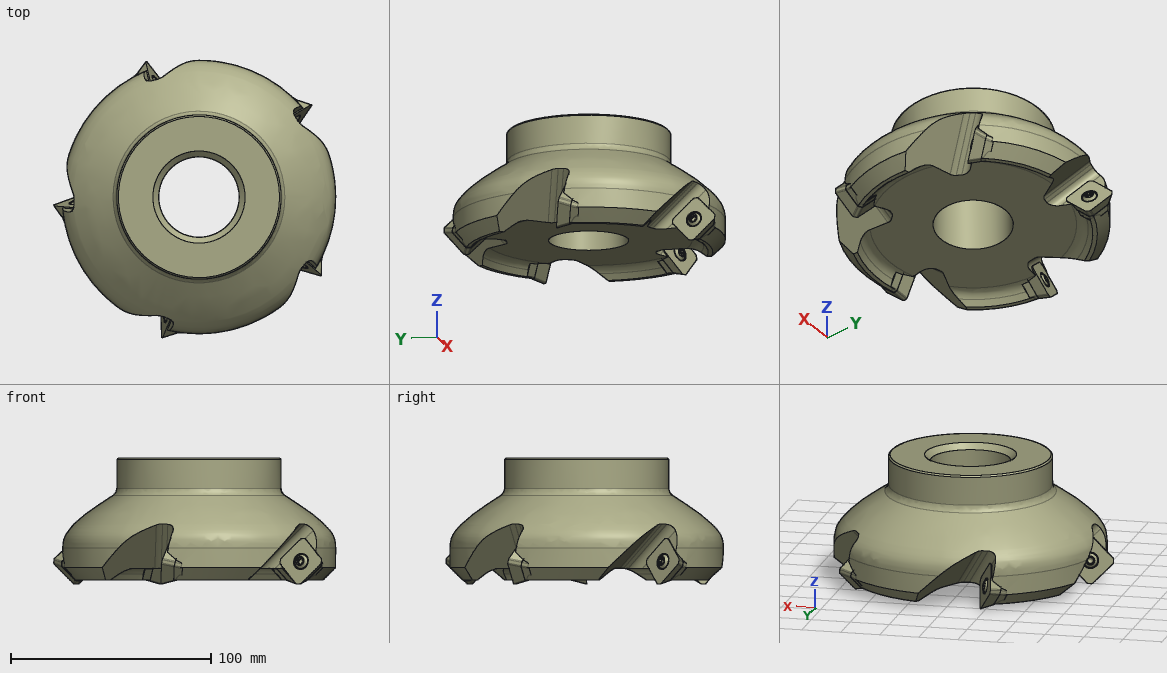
import cadquery as cq
import math

overall_height = 63.0
head_radius = 68.25
hub_radius = 82.0 / 2
hub_edge_chamfer = 0.8
hub_fillet = 4.2
hub_base_height = 45.6
slope_angle = math.radians(35)
shoulder_points = [(58.0, 33.9), (64.7, 27.6)]
shoulder_height = 18.1
rim_height = 8.3
underside_height = 2.0
bore_diameter = 40.01
bore_chamfer = 3.0

hollow_roof_height = 7.9
hollow_roof_radius = 51.6
hollow_blend_radius = 7.25
hollow_blend_angle = math.radians(53)

insert_count = 5
insert_side = 18.2
insert_thickness = 6.0
insert_corner = 1.7
insert_corner_blend = 0.9
insert_relief = 20.0
insert_x = -16.3
insert_y = -58.7
face_azimuth = math.radians(169.5)
face_elevation = math.radians(12.7)

pad_thickness = 4.0
pad_relief = 11.0
pad_inset = 0.15

screw_recess_diameter = 8.1
screw_recess_depth = 0.6
screw_head_diameter = 7.15
screw_top_diameter = 4.5
screw_rise = 0.8
socket_diameter = 4.0
socket_lobe_count = 6
socket_lobe_diameter = 1.0
socket_core_diameter = 3.0
socket_depth = 1.6
socket_tip_depth = 0.9

face_proud = 0.8
flute_floor = 11.7
flute_floor_width = 8.1
flute_wall_lean = math.radians(33)
flute_root_fillet = 3.8
flute_wall_blend = 5.5
flute_depth = 60.0
flute_reach = 80.0
flute_half_length = 60.0


def rotated_copies(body):
    """Copies of a body at every insert station around the axis."""
    step = 360.0 / insert_count
    return [body.rotate((0, 0, 0), (0, 0, 1), i * step) for i in range(insert_count)]


face_normal = cq.Vector(
    math.cos(face_elevation) * math.cos(face_azimuth),
    math.cos(face_elevation) * math.sin(face_azimuth),
    math.sin(face_elevation),
)
face_outward = cq.Vector(-math.sin(face_azimuth), math.cos(face_azimuth), 0)
face_upward = face_normal.cross(face_outward)
edge_direction = face_outward + face_upward
insert_z = edge_direction.z * math.sqrt(0.5) * (insert_side - insert_corner)
insert_plane = cq.Plane((insert_x, insert_y, insert_z), edge_direction, face_normal)


def head_blank():
    """Turned head: hub, sloping shoulder, rim with a 45 degree underside, bore and hollow."""
    underside_radius = head_radius - (rim_height - underside_height)

    blend_z = hollow_roof_height - hollow_blend_radius

    def blend_point(angle):
        r = hollow_roof_radius + hollow_blend_radius * math.sin(angle)
        return r, blend_z + hollow_blend_radius * math.cos(angle)

    lip_r, lip_z = blend_point(hollow_blend_angle)
    mouth_r = lip_r + (lip_z - underside_height) / math.tan(hollow_blend_angle)
    bore_radius = bore_diameter / 2

    profile = (
        cq.Workplane("XZ")
        .moveTo(bore_radius, hollow_roof_height)
        .lineTo(bore_radius, overall_height - bore_chamfer)
        .lineTo(bore_radius + bore_chamfer, overall_height)
        .lineTo(hub_radius - hub_edge_chamfer, overall_height)
        .lineTo(hub_radius, overall_height - hub_edge_chamfer)
        .lineTo(hub_radius, hub_base_height)
        .spline(
            [*shoulder_points, (head_radius, shoulder_height)],
            tangents=[(math.cos(slope_angle), -math.sin(slope_angle)), (0, -1)],
            includeCurrent=True,
        )
        .lineTo(head_radius, rim_height)
        .lineTo(underside_radius, underside_height)
        .lineTo(mouth_r, underside_height)
        .lineTo(lip_r, lip_z)
        .threePointArc(blend_point(hollow_blend_angle / 2), (hollow_roof_radius, hollow_roof_height))
        .close()
    )
    blank = profile.revolve(360, (0, 0, 0), (0, 1, 0))
    hub_foot = cq.selectors.BoxSelector(
        (-hub_radius - 1, -hub_radius - 1, hub_base_height - 1),
        (hub_radius + 1, hub_radius + 1, hub_base_height + 1),
    )
    return blank.edges(hub_foot).fillet(hub_fillet)


def flute():
    """Chip space over the rake face, with a square floor and a wall leaning over the insert."""
    wall_start = flute_floor_width - face_proud
    wall_shift = (flute_depth - wall_start) * math.tan(flute_wall_lean)
    section = cq.Plane(
        insert_plane.toWorldCoords((-flute_half_length, 0, 0)), insert_plane.yDir, insert_plane.xDir
    )
    chip_space = (
        cq.Workplane(section)
        .moveTo(flute_floor, -face_proud)
        .lineTo(flute_floor, wall_start)
        .lineTo(flute_floor - wall_shift, flute_depth)
        .lineTo(-flute_reach, flute_depth)
        .lineTo(-flute_reach, -face_proud)
        .close()
        .extrude(2 * flute_half_length)
    )
    root = insert_plane.toWorldCoords((0, flute_floor, -face_proud))
    wall_foot = insert_plane.toWorldCoords((0, flute_floor, wall_start))
    nearest_edge = cq.selectors.NearestToPointSelector
    chip_space = chip_space.edges(nearest_edge(root)).fillet(flute_root_fillet)
    return chip_space.edges(nearest_edge(wall_foot)).fillet(flute_wall_blend)


def cut_corner_square(side):
    """Square outline with flat corners, each flat blended into its neighbours."""
    outline = cq.Sketch().rect(side, side).vertices().chamfer(insert_corner)
    return outline.reset().vertices().fillet(insert_corner_blend)


def tapered_square(depth, side, thickness, relief):
    """Cut-corner square plate starting `depth` under the insert face and narrowing with depth."""
    narrowing = 2 * thickness * math.tan(math.radians(relief))
    back = cut_corner_square(side - narrowing).moved(cq.Location(cq.Vector(0, 0, -thickness)))
    start = cq.Workplane(insert_plane).workplane(offset=-depth)
    return start.placeSketch(cut_corner_square(side), back).loft()


def insert_blank():
    return tapered_square(0, insert_side, insert_thickness, insert_relief)


def seat_pad():
    insert_back = insert_side - 2 * insert_thickness * math.tan(math.radians(insert_relief))
    return tapered_square(insert_thickness, insert_back - 2 * pad_inset, pad_thickness, pad_relief)


def screw_socket():
    """Six-lobed socket with a conical bottom."""
    top = cq.Workplane(insert_plane).workplane(offset=screw_rise)
    core_radius = socket_core_diameter / 2
    lobe_radius = (socket_diameter - socket_lobe_diameter) / 2
    core = top.circle(core_radius).extrude(-socket_depth)
    lobes = (
        top.polarArray(lobe_radius, 0, 360, socket_lobe_count)
        .circle(socket_lobe_diameter / 2)
        .extrude(-socket_depth)
    )
    tip_base = insert_plane.toWorldCoords((0, 0, screw_rise - socket_depth))
    tip = cq.Solid.makeCone(core_radius, 0, socket_tip_depth, tip_base, face_normal * -1)
    return core.union(lobes).union(cq.Workplane(tip))


def insert_with_screw():
    """Insert with its clamping screw: a raised conical head in a shallow ring."""
    face = cq.Workplane(insert_plane)
    recess = face.circle(screw_recess_diameter / 2).extrude(-screw_recess_depth)
    screw_head = (
        face.workplane(offset=-screw_recess_depth)
        .circle(screw_head_diameter / 2)
        .workplane(offset=screw_recess_depth + screw_rise)
        .circle(screw_top_diameter / 2)
        .loft()
    )
    return insert_blank().cut(recess).union(screw_head).cut(screw_socket())


head = head_blank()
for cutter in rotated_copies(flute()):
    head = head.cut(cutter)
for pad in rotated_copies(seat_pad()):
    head = head.union(pad)
for pocket in rotated_copies(insert_blank()):
    head = head.cut(pocket)

inserts = [copy.val() for copy in rotated_copies(insert_with_screw())]

result = cq.Compound.makeCompound([*head.vals(), *inserts])